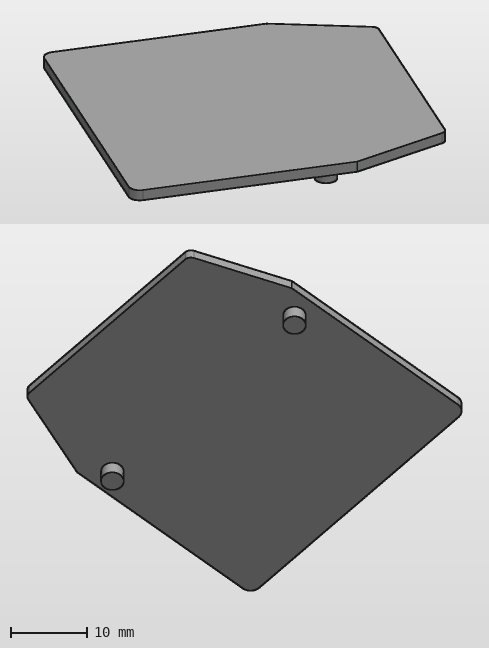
import cadquery as cq

width = 42.0
length = 44.5
plate_thickness = 1.5
back_width = 31.85
taper_length = 13.65
front_corner_radius = 1.5
back_corner_radius = 1.02

total_height = 3.5
peg_height = total_height - plate_thickness
peg_diameter = 3.0
peg_spacing = 35.6
peg_from_back = 17.0

front_y = -length / 2
back_y = length / 2
shoulder_y = back_y - taper_length


def make_plate():
    """Flat plate, top face at Z = 0, whose sides taper in towards the back."""
    outline = [
        (-width / 2, front_y),
        (width / 2, front_y),
        (width / 2, shoulder_y),
        (back_width / 2, back_y),
        (-back_width / 2, back_y),
        (-width / 2, shoulder_y),
    ]
    plate = cq.Workplane("XY").polyline(outline).close().extrude(-plate_thickness)
    plate = plate.edges("|Z").edges("<Y").fillet(front_corner_radius)
    return plate.edges("|Z").edges(">Y").fillet(back_corner_radius)


def make_pegs():
    """Pair of round pegs hanging from the underside of the plate."""
    peg_y = back_y - peg_from_back
    return (
        cq.Workplane("XY", origin=(0, 0, -plate_thickness))
        .pushPoints([(side * peg_spacing / 2, peg_y) for side in (-1, 1)])
        .circle(peg_diameter / 2)
        .extrude(-peg_height)
    )


result = make_plate().union(make_pegs())